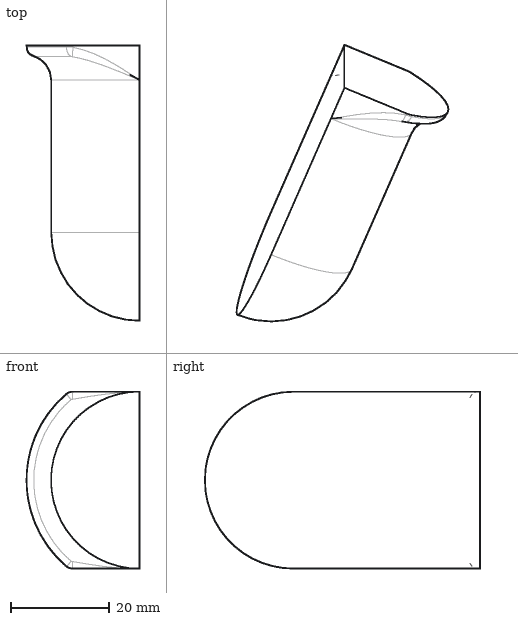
import cadquery as cq

body_radius = 18.0
back_to_dome = 38.0
flare_radius = 5.0
flange_thickness = 2.0
rim_round = 2.0

flange_radius = body_radius + flare_radius
flare_start = flange_thickness + flare_radius
tip = back_to_dome + body_radius
half_height = body_radius

tolerance = 0.01


def arc_midpoint(center_x, center_y, radius, sign_x, sign_y):
    """Midpoint of the quarter circle lying in the given quadrant."""
    diagonal = radius * 0.5 ** 0.5
    return (center_x + sign_x * diagonal, center_y + sign_y * diagonal)


def make_revolved_half():
    """Half turn of the flared, domed profile about the Y axis; back face at Y = 0."""
    profile = (
        cq.Workplane("XY")
        .moveTo(0, 0)
        .lineTo(-flange_radius, 0)
        .lineTo(-flange_radius, -flange_thickness)
        .threePointArc(
            arc_midpoint(-flange_radius, -flare_start, flare_radius, 1, 1),
            (-body_radius, -flare_start),
        )
        .lineTo(-body_radius, -back_to_dome)
        .threePointArc(arc_midpoint(0, -back_to_dome, body_radius, -1, -1), (0, -tip))
        .close()
    )
    full = profile.revolve(360, (0, 0, 0), (0, 1, 0))
    keep = cq.Workplane("XY").box(flange_radius, tip, 2 * half_height, centered=(False, False, True))
    return full.intersect(keep.translate((-flange_radius, -tip, 0)))


def is_front_rim(edge):
    """True for the edges of the flared front of the flange: the outer arc and the two flat sides."""
    if edge.geomType() == "BSPLINE":
        return True
    return edge.geomType() == "CIRCLE" and abs(edge.Center().y + flange_thickness) < tolerance


def is_flange_corner(edge):
    """True for the two short edges where the flange's outer arc meets its flat sides."""
    center = edge.Center()
    at_mid_thickness = abs(center.y + flange_thickness / 2) < tolerance
    return edge.geomType() == "LINE" and center.x < -tolerance and at_mid_thickness


def round_flange(solid):
    """Round the flange's front rim together with its two corners."""
    edges = [edge for edge in solid.Edges() if is_front_rim(edge) or is_flange_corner(edge)]
    return solid.fillet(rim_round, edges)


result = cq.Workplane("XY").newObject([round_flange(make_revolved_half().val())])